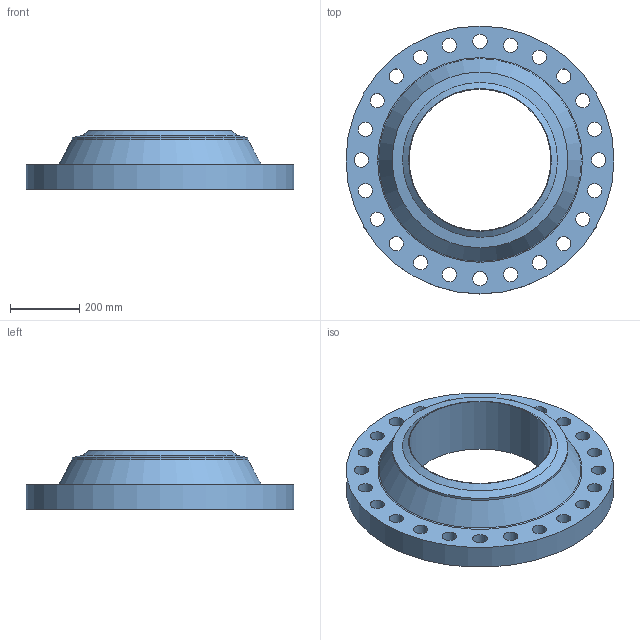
import cadquery as cq
import math

flange_radius = 774.7 / 2
total_height = 168.15
flange_thickness = 69.85

bolt_count = 24
bolt_circle_radius = 685.8 / 2
bolt_hole_diameter = 41.3

bore_radius = 409.5 / 2
hub_base_radius = 587.2 / 2
hub_top_radius = 508.0 / 2
hub_rim_height = 7.0
hub_root_fillet = 4.0

root_face_width = 1.6
inner_bevel_reach = 19.0
inner_bevel_angle = math.radians(37.5)
outer_bevel_angle = math.radians(10.0)

root_face_radius = bore_radius + root_face_width
bevel_break_radius = bore_radius + inner_bevel_reach
bevel_break_z = total_height - (bevel_break_radius - root_face_radius) * math.tan(inner_bevel_angle)
rim_top_z = bevel_break_z - (hub_top_radius - bevel_break_radius) * math.tan(outer_bevel_angle)
rim_bottom_z = rim_top_z - hub_rim_height


def flange_body():
    """Flange disc and conical hub, revolved about Z from one half section."""
    half_section = (
        cq.Workplane("XZ")
        .moveTo(bore_radius, 0)
        .lineTo(flange_radius, 0)
        .lineTo(flange_radius, flange_thickness)
        .lineTo(hub_base_radius, flange_thickness)
        .lineTo(hub_top_radius, rim_bottom_z)
        .lineTo(hub_top_radius, rim_top_z)
        .lineTo(bevel_break_radius, bevel_break_z)
        .lineTo(root_face_radius, total_height)
        .lineTo(bore_radius, total_height)
        .close()
    )
    return half_section.revolve(360, (0, 0, 0), (0, 1, 0))


def fillet_hub_root(body):
    """Round the corner where the hub cone meets the flange."""
    horizontal_faces = body.faces("|Z")
    flange_top_face = horizontal_faces.faces(">Z[1]")
    hub_root_edge = flange_top_face.edges(cq.selectors.RadiusNthSelector(0))
    return hub_root_edge.fillet(hub_root_fillet)


def drill_bolt_holes(body):
    """Through holes equally spaced on the bolt circle."""
    holes = (
        cq.Workplane("XY")
        .polarArray(bolt_circle_radius, 0, 360, bolt_count)
        .circle(bolt_hole_diameter / 2)
        .extrude(flange_thickness)
    )
    return body.cut(holes)


result = drill_bolt_holes(fillet_hub_root(flange_body()))